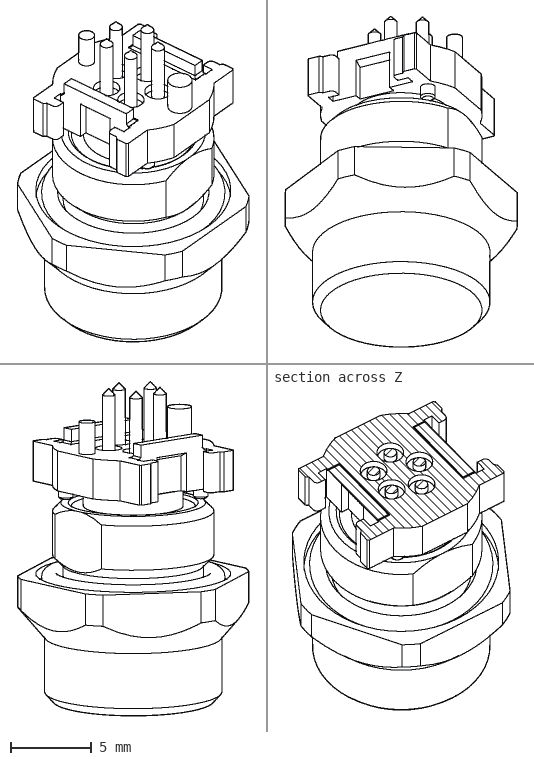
import cadquery as cq


cone_bottom_z = 4.03
cone_top_z = 6.03
hex_top_z = 8.0
collar_bottom_z = 8.54
collar_top_z = 12.49
plate_bottom_z = 13.55
plate_top_z = 16.08
tongue_top_z = 16.97
post_top_z = 18.06
pin_top_z = 19.85

sleeve_radius = 5.5
sleeve_chamfer_width = 0.5
sleeve_chamfer_height = 0.55
hex_across_flats = 13.0
hex_corner_diameter = 14.4
neck_radius = 4.35
collar_radius = 5.0
collar_flat_width = 8.95
collar_bottom_chamfer = collar_radius - neck_radius
collar_top_chamfer = 0.52

ring_outer_radius = 5.68
ring_section_radius = 0.5
ring_centre_radius = ring_outer_radius - ring_section_radius
ring_top_z = 8.3
groove_outer_radius = 6.03
groove_floor_z = ring_top_z - 2 * ring_section_radius

bore_radius = 3.83
bore_chamfer = 0.2
flange_top_z = collar_top_z - bore_chamfer
stem_radius = 3.1

pin_radius = 0.4
pin_tip_height = 0.42
pin_recess_radius = 0.81
pin_recess_depth = 0.5
upper_pin_y = 1.37
middle_pin_x = 1.69
middle_pin_y = 0.35
lower_pin_x = 0.97
lower_pin_y = -1.4
pin_points = [
    (0, upper_pin_y),
    (-middle_pin_x, middle_pin_y),
    (middle_pin_x, middle_pin_y),
    (-lower_pin_x, lower_pin_y),
    (lower_pin_x, lower_pin_y),
]

plate_radius = 5.0
plate_half_width = 4.7
arm_half_width = 3.81
arm_half_length = 5.18
arm_corner_chamfer = 0.1
hook_end_y = 5.0
hook_bevel = arm_half_length - hook_end_y
hook_bevel_x = 2.8
throat_half_width = 2.06
hook_fillet = 0.3
slot_half_width = 2.8
slot_outer_y = 4.29

tongue_half_width = 2.5
tongue_outer_y = 3.7
tongue_inner_y = 2.98
tongue_foot = 0.2
tongue_pocket_depth = 0.08
window_width = 2.36
window_clearance = 0.08
window_depth = tongue_outer_y - stem_radius - window_clearance
window_outer_top_z = 16.02
window_inner_top_z = 15.76

post_x = 3.75
left_post_radius = 0.5
right_post_radius = 0.75
peg_x = 3.28
peg_y = 2.6
peg_radius = 0.45
peg_length = 0.8
peg_chamfer = 0.12


def cylinder(radius, bottom_z, top_z, x=0, y=0):
    """Upright round bar between two heights."""
    return cq.Workplane("XY", origin=(x, y, bottom_z)).circle(radius).extrude(top_z - bottom_z)


def box_between(x_range, y_range, z_range):
    """Box spanning the given (low, high) ranges."""
    sizes = [high - low for low, high in (x_range, y_range, z_range)]
    return cq.Workplane("XY", origin=(x_range[0], y_range[0], z_range[0])).box(*sizes, centered=False)


def both_ends(shape):
    """The shape at the -Y end together with its mirror image at the +Y end."""
    return shape.union(shape.mirror("XZ"))


def make_hex_flange():
    """Hexagon with flats on X, rounded corners and a conical underside."""
    hexagon = (
        cq.Workplane("XY", origin=(0, 0, cone_bottom_z))
        .polygon(6, hex_across_flats, circumscribed=True)
        .extrude(hex_top_z - cone_bottom_z)
    )
    corner_radius = hex_corner_diameter / 2
    turned_blank = (
        cq.Workplane("XZ")
        .polyline([
            (0, cone_bottom_z),
            (sleeve_radius, cone_bottom_z),
            (corner_radius, cone_top_z),
            (corner_radius, hex_top_z),
            (0, hex_top_z),
        ])
        .close()
        .revolve(360, (0, 0), (0, 1))
    )
    return hexagon.intersect(turned_blank)


def make_collar():
    """Chamfered collar with two flats facing -X and +X."""
    collar = cylinder(collar_radius, collar_bottom_z, collar_top_z)
    collar = collar.faces(">Z").chamfer(collar_top_chamfer).faces("<Z").chamfer(collar_bottom_chamfer)
    half_flat = collar_flat_width / 2
    return collar.intersect(
        box_between((-half_flat, half_flat), (-collar_radius, collar_radius), (collar_bottom_z, collar_top_z))
    )


def make_housing():
    sleeve = cylinder(sleeve_radius, 0, cone_bottom_z)
    sleeve = sleeve.faces("<Z").edges().chamfer(sleeve_chamfer_height, sleeve_chamfer_width)
    groove = cylinder(groove_outer_radius, groove_floor_z, hex_top_z)
    neck = cylinder(neck_radius, groove_floor_z, collar_bottom_z)
    bore = cylinder(bore_radius, hex_top_z, collar_top_z)
    bore_mouth = cq.Workplane(
        cq.Solid.makeCone(bore_radius, bore_radius + bore_chamfer, bore_chamfer, cq.Vector(0, 0, flange_top_z))
    )
    body = sleeve.union(make_hex_flange()).cut(groove).union(neck).union(make_collar())
    return body.cut(bore).cut(bore_mouth)


def make_sealing_ring():
    return (
        cq.Workplane("XZ")
        .moveTo(ring_centre_radius, ring_top_z - ring_section_radius)
        .circle(ring_section_radius)
        .revolve(360, (0, 0), (0, 1))
    )


def make_pin(x, y):
    """Contact pin with a pointed tip, rising from the carrier stem."""
    shoulder_z = pin_top_z - pin_tip_height
    tip = cq.Solid.makeCone(pin_radius, 0, pin_tip_height, cq.Vector(x, y, shoulder_z))
    return cylinder(pin_radius, plate_bottom_z, shoulder_z, x, y).union(cq.Workplane(tip))


def make_carrier():
    flange = cylinder(bore_radius, hex_top_z, flange_top_z)
    carrier = flange.union(cylinder(stem_radius, flange_top_z, plate_bottom_z))
    for x, y in pin_points:
        carrier = carrier.union(make_pin(x, y))
    return carrier


def make_plate_blank():
    """Round plate with flat sides, and a square-ended arm reaching out at -Y and +Y."""
    z_range = (plate_bottom_z, plate_top_z)
    disc = cylinder(plate_radius, plate_bottom_z, plate_top_z).intersect(
        box_between((-plate_half_width, plate_half_width), (-plate_radius, plate_radius), z_range)
    )
    arms = box_between(
        (-arm_half_width, arm_half_width), (-arm_half_length, arm_half_length), z_range
    ).edges("|Z").chamfer(arm_corner_chamfer)
    return disc.union(arms)


def make_end_opening():
    """T-shaped opening in the -Y arm, leaving a hook on each side."""
    throat_start_x = throat_half_width + hook_fillet
    bevel_end_x = hook_bevel_x + hook_bevel
    return (
        cq.Workplane("XY", origin=(0, 0, plate_bottom_z))
        .moveTo(-bevel_end_x, -arm_half_length)
        .lineTo(-hook_bevel_x, -hook_end_y)
        .lineTo(-throat_start_x, -hook_end_y)
        .radiusArc((-throat_half_width, hook_fillet - hook_end_y), -hook_fillet)
        .lineTo(-throat_half_width, -slot_outer_y)
        .lineTo(-slot_half_width, -slot_outer_y)
        .lineTo(-slot_half_width, -tongue_outer_y)
        .lineTo(slot_half_width, -tongue_outer_y)
        .lineTo(slot_half_width, -slot_outer_y)
        .lineTo(throat_half_width, -slot_outer_y)
        .lineTo(throat_half_width, hook_fillet - hook_end_y)
        .radiusArc((throat_start_x, -hook_end_y), -hook_fillet)
        .lineTo(hook_bevel_x, -hook_end_y)
        .lineTo(bevel_end_x, -arm_half_length)
        .close()
        .extrude(plate_top_z - plate_bottom_z)
    )


def make_tongue_pocket():
    """Shallow sunk seat around the foot of the -Y tongue."""
    half_width = tongue_half_width + tongue_foot
    return box_between(
        (-half_width, half_width),
        (-tongue_outer_y, tongue_foot - tongue_inner_y),
        (plate_top_z - tongue_pocket_depth, plate_top_z),
    )


def make_tongue():
    """Upright tongue of the -Y end, with a sloping foot on its three inner sides."""
    seat_z = plate_top_z - tongue_pocket_depth
    tongue = box_between(
        (-tongue_half_width, tongue_half_width), (-tongue_outer_y, -tongue_inner_y), (seat_z, tongue_top_z)
    )
    foot_half_width = tongue_half_width + tongue_foot
    foot = (
        box_between(
            (-foot_half_width, foot_half_width),
            (-tongue_outer_y, tongue_foot - tongue_inner_y),
            (seat_z - tongue_foot, seat_z + tongue_foot),
        )
        .faces(">Z").edges(">Y or <X or >X").chamfer(tongue_foot)
    )
    return tongue.union(foot)


def make_window():
    """Recess in the outer face of the -Y tongue, open below, under a sloping top."""
    return (
        cq.Workplane("YZ", origin=(-window_width / 2, 0, 0))
        .polyline([
            (-tongue_outer_y, plate_bottom_z),
            (-tongue_outer_y, window_outer_top_z),
            (window_depth - tongue_outer_y, window_inner_top_z),
            (window_depth - tongue_outer_y, plate_bottom_z),
        ])
        .close()
        .extrude(window_width)
    )


def make_peg(x, y):
    """Chamfered locating peg under the plate."""
    peg = cylinder(peg_radius, plate_bottom_z - peg_length, plate_bottom_z, x, y)
    return peg.faces("<Z").chamfer(peg_chamfer)


def make_plate():
    plate = make_plate_blank().cut(both_ends(make_end_opening()))
    plate = plate.cut(both_ends(make_tongue_pocket())).union(both_ends(make_tongue()))
    plate = plate.cut(both_ends(make_window()))
    plate = plate.union(cylinder(left_post_radius, plate_top_z, post_top_z, x=-post_x))
    plate = plate.union(cylinder(right_post_radius, plate_top_z, post_top_z, x=post_x))
    for x, y in [(-peg_x, peg_y), (peg_x, -peg_y)]:
        plate = plate.union(make_peg(x, y))
    for x, y in pin_points:
        plate = plate.cut(cylinder(pin_recess_radius, plate_top_z - pin_recess_depth, plate_top_z, x, y))
        plate = plate.cut(cylinder(pin_radius, plate_bottom_z, plate_top_z, x, y))
    return plate


housing = make_housing()
sealing_ring = make_sealing_ring()
carrier = make_carrier()
plate = make_plate()

result = cq.Compound.makeCompound([housing.val(), sealing_ring.val(), carrier.val(), plate.val()])